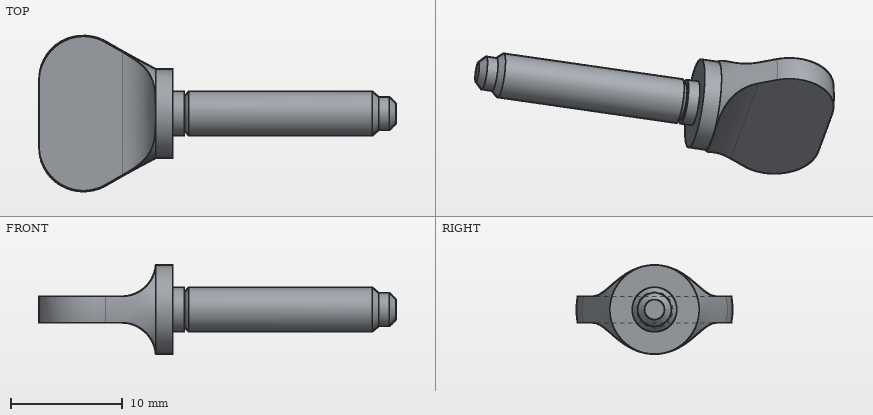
import cadquery as cq
import math

total_length = 32.0
collar_end = 12.0
collar_thickness = 1.55
collar_start = collar_end - collar_thickness
collar_radius = 4.0

lobe_radius = 4.0
lobe_offset = 3.0
grip_thickness = 2.4
root_fillet = 3.0

shank_radius = 2.0
neck_length = 1.02
groove_depth = 0.4
groove_taper = 0.35
groove_floor = 0.05

pilot_radius = 1.5
pilot_chamfer = 0.6
pilot_length = 1.57
shank_chamfer_length = 0.58


def make_head():
    """Revolved grip blank and collar: a lobe whose tangent cone runs to the collar."""
    center_x = lobe_radius
    reach_x = collar_start - center_x
    reach_r = collar_radius - lobe_offset
    reach = math.hypot(reach_x, reach_r)
    tangent_angle = math.atan2(reach_r, reach_x) + math.acos(lobe_radius / reach)

    def lobe_point(angle):
        return (
            center_x + lobe_radius * math.cos(angle),
            lobe_offset + lobe_radius * math.sin(angle),
        )

    middle_angle = (math.pi + tangent_angle) / 2
    return (
        cq.Workplane("XZ")
        .lineTo(0, lobe_offset)
        .threePointArc(lobe_point(middle_angle), lobe_point(tangent_angle))
        .lineTo(collar_start, collar_radius)
        .lineTo(collar_end, collar_radius)
        .lineTo(collar_end, 0)
        .close()
        .revolve(360, (0, 0, 0), (1, 0, 0))
    )


def make_flat_cutter():
    """Material removed above the grip, rounded where it rises into the collar."""
    half_thickness = grip_thickness / 2
    cutter_top = lobe_offset + 2 * lobe_radius
    fillet_start = collar_start - root_fillet
    diagonal = root_fillet * math.sqrt(0.5)
    fillet_middle = (fillet_start + diagonal, half_thickness + root_fillet - diagonal)
    return (
        cq.Workplane("XZ")
        .moveTo(-lobe_radius, half_thickness)
        .lineTo(fillet_start, half_thickness)
        .threePointArc(fillet_middle, (collar_start, half_thickness + root_fillet))
        .lineTo(collar_start, cutter_top)
        .lineTo(-lobe_radius, cutter_top)
        .close()
        .extrude(cutter_top, both=True)
    )


def make_shank():
    """Revolved shank with a relief groove behind the collar and a stepped pilot end."""
    groove_start = collar_end + neck_length
    groove_end = groove_start + groove_floor
    groove_radius = shank_radius - groove_depth
    pilot_start = total_length - pilot_length
    profile = [
        (collar_start, 0),
        (collar_start, shank_radius),
        (groove_start, shank_radius),
        (groove_start, groove_radius),
        (groove_end, groove_radius),
        (groove_end + groove_taper, shank_radius),
        (pilot_start - shank_chamfer_length, shank_radius),
        (pilot_start, pilot_radius),
        (total_length - pilot_chamfer, pilot_radius),
        (total_length, pilot_radius - pilot_chamfer),
        (total_length, 0),
    ]
    return cq.Workplane("XZ").polyline(profile).close().revolve(360, (0, 0, 0), (1, 0, 0))


flat_cutter = make_flat_cutter()
head = make_head().cut(flat_cutter).cut(flat_cutter.mirror("XY"))
result = head.union(make_shank())